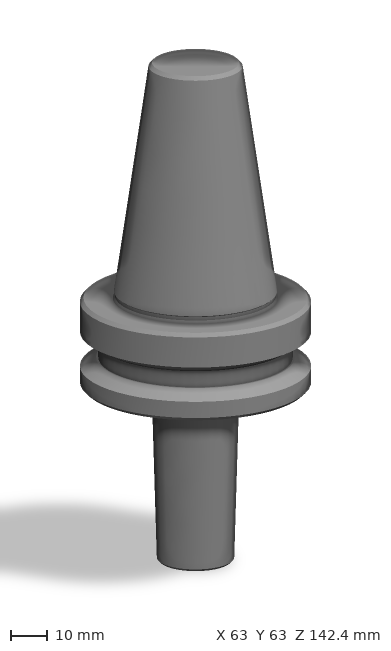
import cadquery as cq

total_height = 142.4
flange_bottom = 50.0
flange_top = 75.0
gauge_height = 77.0

gauge_radius = 22.2
taper_ratio = 7 / 48
shank_chamfer = 1.0
shank_end_radius = gauge_radius - taper_ratio * (total_height - shank_chamfer - gauge_height)

relief_depth = 0.3
relief_top = gauge_height - relief_depth
relief_bottom = 75.8
relief_foot_radius = 22.5

flange_radius = 31.5
flange_chamfer = 1.0
groove_radius = 26.5
groove_center = 60.5
groove_floor_width = 4.8
groove_mouth_width = 9.8
groove_ledge = 0.5

nose_end_radius = 10.5
nose_root_radius = 12.0
nose_chamfer = 0.7
root_fillet = 4.7


def profile_points():
    """Half section of the turned body as (radius, height) pairs, from the nose up."""
    nose = [
        (0, 0),
        (nose_end_radius - nose_chamfer, 0),
        (nose_end_radius, nose_chamfer),
        (nose_root_radius, flange_bottom),
    ]
    flange = [
        (flange_radius - flange_chamfer, flange_bottom),
        (flange_radius, flange_bottom + flange_chamfer),
        (flange_radius, groove_center - groove_mouth_width / 2),
        (groove_radius + groove_ledge, groove_center - groove_floor_width / 2),
        (groove_radius, groove_center - groove_floor_width / 2),
        (groove_radius, groove_center + groove_floor_width / 2),
        (groove_radius + groove_ledge, groove_center + groove_floor_width / 2),
        (flange_radius, groove_center + groove_mouth_width / 2),
        (flange_radius, flange_top - flange_chamfer),
        (flange_radius - flange_chamfer, flange_top),
    ]
    shank = [
        (relief_foot_radius, flange_top),
        (gauge_radius - relief_depth, relief_bottom),
        (gauge_radius - relief_depth, relief_top),
        (gauge_radius, gauge_height),
        (shank_end_radius, total_height - shank_chamfer),
        (shank_end_radius - shank_chamfer, total_height),
        (0, total_height),
    ]
    return nose + flange + shank


body = cq.Workplane("XZ").polyline(profile_points()).close().revolve(360, (0, 0), (0, 1))

edge_tolerance = flange_chamfer / 2
nose_root = cq.selectors.BoxSelector(
    (-flange_radius, -flange_radius, flange_bottom - edge_tolerance),
    (flange_radius, flange_radius, flange_bottom + edge_tolerance),
)
root_edge = body.edges(nose_root).edges(cq.selectors.RadiusNthSelector(0))
result = root_edge.fillet(root_fillet)